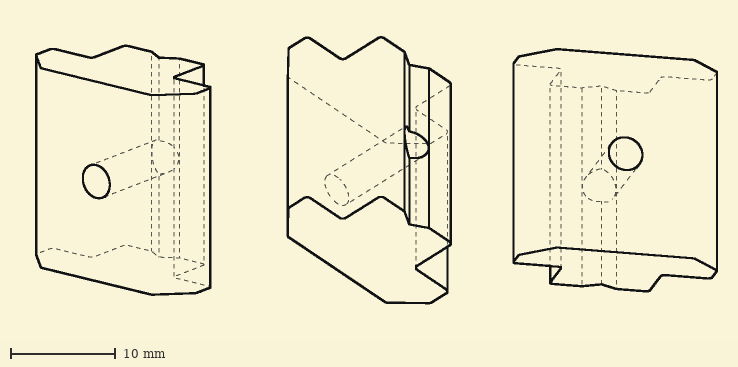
import cadquery as cq

flange_width = 19.5
profile_height = 10.6
length = 20.0

stem_width = 9.8
flange_thickness = 5.5
flange_chamfer = 3.0
groove_width = 3.4
groove_depth = 1.0

edge_radius = 0.4

hole_diameter = 3.3

half_flange = flange_width / 2
half_stem = stem_width / 2
half_base = half_flange - flange_chamfer


def make_profile():
    """Extrude the T-shaped outline, with its base face on Y = 0."""
    right_side = [
        (half_base, 0),
        (half_flange, flange_chamfer),
        (half_flange, flange_thickness),
        (half_stem, flange_thickness),
        (half_stem, profile_height),
        (groove_width / 2, profile_height),
    ]
    groove_bottom = (0, profile_height - groove_depth)
    left_side = [(-x, y) for x, y in reversed(right_side)]
    outline = right_side + [groove_bottom] + left_side
    return cq.Workplane("XY").polyline(outline).close().extrude(length)


def round_edges(body, corners, radius):
    """Round the lengthwise edges at the given (x, y) corners and their mirror images."""
    for x, y in corners:
        for side in (1, -1):
            nearest = cq.selectors.NearestToPointSelector((side * x, y, length / 2))
            body = body.edges("|Z").edges(nearest).fillet(radius)
    return body


def drill_hole(body):
    """Drill through the part along Y, in the middle of the base face."""
    drill = (
        cq.Workplane("XZ")
        .center(0, length / 2)
        .circle(hole_diameter / 2)
        .extrude(-profile_height)
    )
    return body.cut(drill)


rounded_corners = [
    (half_stem, profile_height),
    (half_stem, flange_thickness),
    (half_flange, flange_thickness),
    (half_flange, flange_chamfer),
    (half_base, 0),
]

part = make_profile()
part = round_edges(part, rounded_corners, edge_radius)
result = drill_hole(part)